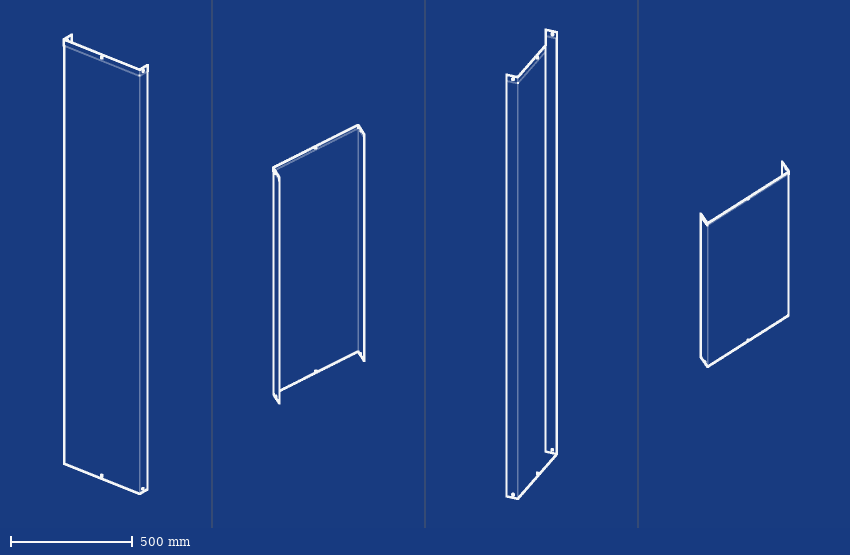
import cadquery as cq

width = 402.0
depth = 52.0
height = 1999.0
sheet = 0.8

socket_height = 28.0
flare_height = 4.0
flare_offset = sheet
socket_base = height - socket_height
flare_base = socket_base - flare_height

body_bend_radius = 1.4
socket_bend_radius = 1.0

hole_diameter = 7.0
hole_end_distance = 15.0
hole_y = 22.0


def add_profile(plane, inset, radius):
    """Outline with rounded front corners, inset at the front and both sides."""
    half = width / 2 - inset
    diagonal = radius * (1 - 0.5 ** 0.5)
    return (
        plane.moveTo(-half, depth)
        .lineTo(-half, inset + radius)
        .threePointArc((-half + diagonal, inset + diagonal), (-half + radius, inset))
        .lineTo(half - radius, inset)
        .threePointArc((half - diagonal, inset + diagonal), (half, inset + radius))
        .lineTo(half, depth)
        .close()
    )


def filled_cover(wall_inset):
    """Body, flare and socket as one filled block, set in from the outer skin by wall_inset."""
    body_inset = wall_inset + flare_offset
    body_radius = body_bend_radius - wall_inset
    socket_radius = socket_bend_radius - wall_inset

    body = add_profile(cq.Workplane("XY"), body_inset, body_radius).extrude(flare_base)

    flare = add_profile(cq.Workplane("XY", origin=(0, 0, flare_base)), body_inset, body_radius)
    flare = add_profile(flare.workplane(offset=flare_height), wall_inset, socket_radius)
    flare = flare.loft(ruled=True)

    socket = add_profile(cq.Workplane("XY", origin=(0, 0, socket_base)), wall_inset, socket_radius)
    return body.union(flare).union(socket.extrude(socket_height))


def hole_cutters(hole_z):
    """One hole through the middle of the face and one crosswise through both flanges."""
    face = cq.Workplane("XZ", origin=(0, depth, hole_z)).circle(hole_diameter / 2).extrude(depth)
    sides = cq.Workplane("YZ", origin=(0, hole_y, hole_z)).circle(hole_diameter / 2)
    return face.union(sides.extrude(width / 2, both=True))


result = filled_cover(0).cut(filled_cover(sheet))

for hole_z in (hole_end_distance, height - hole_end_distance):
    result = result.cut(hole_cutters(hole_z))